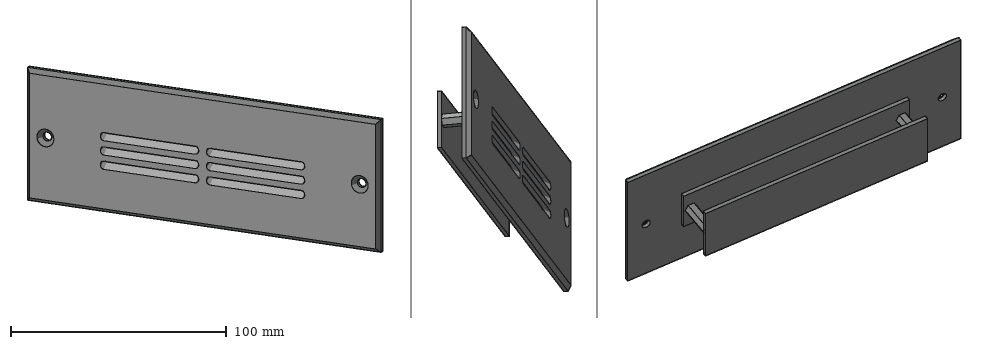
import cadquery as cq
import math

PLATE_LENGTH = 180.0
PLATE_HEIGHT = 65.0
PLATE_THICKNESS = 4.0
PLATE_BEVEL = 2.0

PAD_LENGTH = 122.0
PAD_HEIGHT = 20.0
PAD_THICKNESS = 2.0

OVERALL_DEPTH = 24.0
REAR_LENGTH = 120.0
REAR_HEIGHT = 28.0
REAR_THICKNESS = 2.0
REAR_CENTER_Z = -0.25

POST_SIDES = 6
POST_ACROSS_FLATS = 5.5
POST_SPACING = 114.0

HOLE_SPACING = 160.0
HOLE_DIAMETER = 4.3
COUNTERSINK_DIAMETER = 8.6
COUNTERSINK_ANGLE = 90.0

SLOT_LENGTH = 50.0
SLOT_HEIGHT = 4.0
SLOT_GAP = 4.0
SLOT_COLUMNS = 2
SLOT_PITCH = 7.0
SLOT_ROWS = 3
SLOT_SLOPE = 30.0
MIDDLE_SLOT_Z = -2.16

PAD_REAR_Y = PLATE_THICKNESS + PAD_THICKNESS
REAR_FRONT_Y = OVERALL_DEPTH - REAR_THICKNESS


def slab(length, height, thickness, front_y, center_z=0):
    """Upright rectangular plate centred on X = 0."""
    center = (0, front_y + thickness / 2, center_z)
    return cq.Workplane("XY").box(length, thickness, height).translate(center)


def mirrored_pair(spacing):
    """Two points on the X axis, placed evenly about the origin."""
    return [(-spacing / 2, 0), (spacing / 2, 0)]


def face_plate():
    """Front plate with a bevel all around its front face."""
    plate = slab(PLATE_LENGTH, PLATE_HEIGHT, PLATE_THICKNESS, 0)
    return plate.faces("<Y").chamfer(PLATE_BEVEL)


def cut_mounting_holes(plate):
    """Cut the two countersunk screw holes through the face plate."""
    return (
        plate.faces("<Y")
        .workplane(origin=(0, 0, 0))
        .pushPoints(mirrored_pair(HOLE_SPACING))
        .cskHole(HOLE_DIAMETER, COUNTERSINK_DIAMETER, COUNTERSINK_ANGLE)
    )


def cut_louvre_slots(plate):
    """Cut rows of round-ended slots that slope upwards through the face plate."""
    rise = PLATE_THICKNESS * math.tan(math.radians(SLOT_SLOPE))
    slope_path = cq.Workplane("YZ").lineTo(PLATE_THICKNESS, rise)
    slot = cq.Workplane("XZ").slot2D(SLOT_LENGTH, SLOT_HEIGHT).sweep(slope_path)
    for row in range(SLOT_ROWS):
        z = MIDDLE_SLOT_Z + (row - (SLOT_ROWS - 1) / 2) * SLOT_PITCH
        for column in range(SLOT_COLUMNS):
            x = (column - (SLOT_COLUMNS - 1) / 2) * (SLOT_LENGTH + SLOT_GAP)
            plate = plate.cut(slot.translate((x, 0, z)))
    return plate


def posts():
    """Two hexagonal posts, with flats facing up and down, between pad and rear plate."""
    across_corners = POST_ACROSS_FLATS / math.cos(math.pi / POST_SIDES)
    return (
        cq.Workplane("XZ", origin=(0, PAD_REAR_Y, 0))
        .pushPoints(mirrored_pair(POST_SPACING))
        .polygon(POST_SIDES, across_corners)
        .extrude(PAD_REAR_Y - REAR_FRONT_Y)
    )


plate = cut_louvre_slots(cut_mounting_holes(face_plate()))
pad = slab(PAD_LENGTH, PAD_HEIGHT, PAD_THICKNESS, PLATE_THICKNESS)
rear_plate = slab(REAR_LENGTH, REAR_HEIGHT, REAR_THICKNESS, REAR_FRONT_Y, REAR_CENTER_Z)

result = plate.union(pad).union(posts()).union(rear_plate)